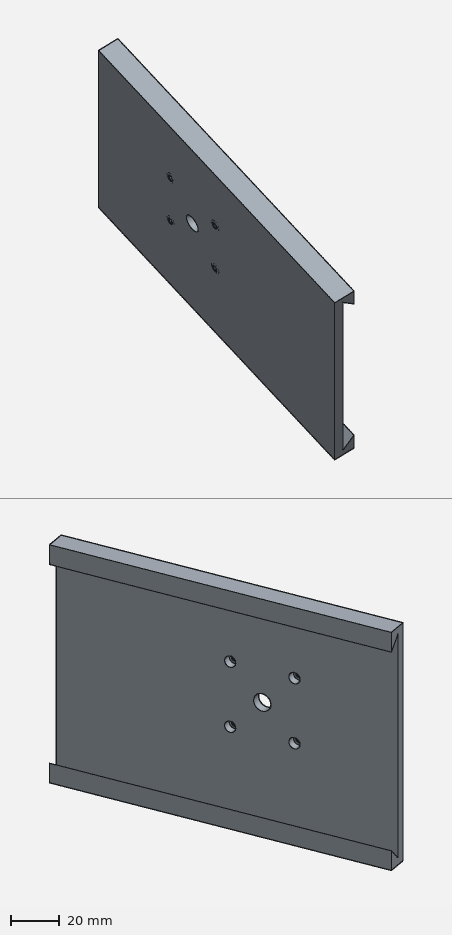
import cadquery as cq

length = 160.0
thickness = 10.0
height = 110.0

web = 4.3
mouth_lip = 9.1
floor_lip = 3.4

pattern_x = -16.5
pattern_z = 4.0
screw_spacing = 30.0
screw_diameter = 3.0
head_diameter = 5.1
head_seat = 0.5
center_diameter = 8.0

front_y = -thickness / 2
back_y = thickness / 2
floor_y = front_y + web


def make_plate():
    """Plate with a dovetail channel running the full length in X."""
    half_height = height / 2
    half_mouth = half_height - mouth_lip
    half_floor = half_height - floor_lip
    profile = [
        (front_y, -half_height),
        (back_y, -half_height),
        (back_y, -half_mouth),
        (floor_y, -half_floor),
        (floor_y, half_floor),
        (back_y, half_mouth),
        (back_y, half_height),
        (front_y, half_height),
    ]
    return (
        cq.Workplane("YZ")
        .polyline(profile)
        .close()
        .extrude(length / 2, both=True)
    )


def square_of_holes(start_y, diameter):
    """Four cylinders on the screw square, running from start_y toward the back."""
    return (
        cq.Workplane("XZ", origin=(pattern_x, start_y, pattern_z))
        .rect(screw_spacing, screw_spacing, forConstruction=True)
        .vertices()
        .circle(diameter / 2)
        .extrude(-thickness)
    )


def drill_holes(plate):
    """Center hole and four screw holes, counterbored from the channel floor."""
    center_hole = (
        cq.Workplane("XZ", origin=(pattern_x, front_y, pattern_z))
        .circle(center_diameter / 2)
        .extrude(-thickness)
    )
    screw_holes = square_of_holes(front_y, screw_diameter)
    head_recesses = square_of_holes(front_y + head_seat, head_diameter)
    return plate.cut(center_hole).cut(screw_holes).cut(head_recesses)


result = drill_holes(make_plate())